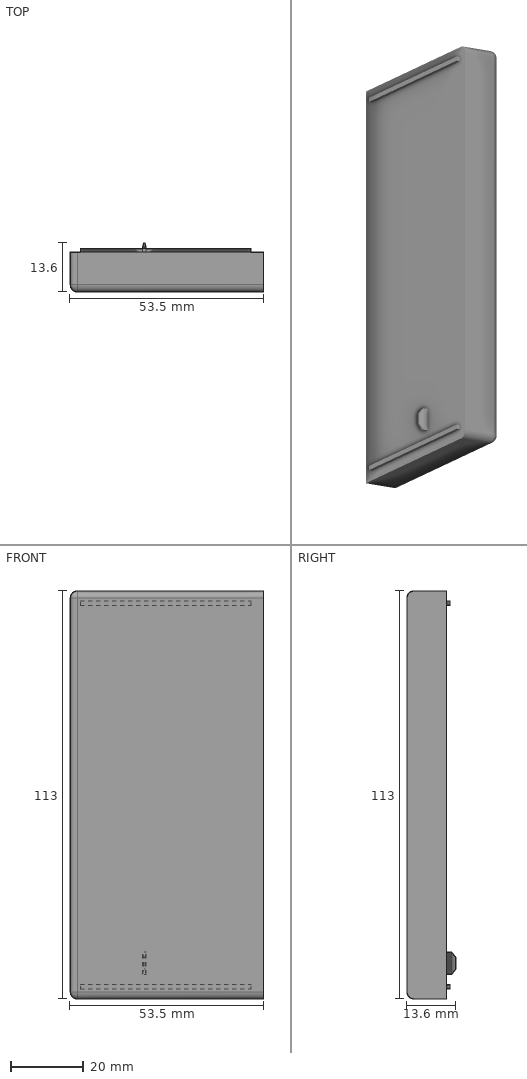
import cadquery as cq

width = 53.5
depth = 11.0
height = 113.0
edge_radius = 2.0

bar_thickness = 1.2
bar_projection = 1.0
bar_edge_margin = 2.8
bar_left_margin = 2.8
bar_right_margin = 3.5
bar_length = width - bar_left_margin - bar_right_margin

overall_depth = 13.58
tab_projection = overall_depth - depth
tab_tip_depth = 1.2
tab_base_depth = tab_projection - tab_tip_depth
tab_height = 6.2
tab_tip_height = 3.2
tab_width = 1.0
tab_tip_width = 0.4
tab_center_x = 20.5
tab_center_z = 9.9


def make_housing():
    """Slab rounded along the front, top and bottom edges that surround its left side."""
    slab = cq.Workplane("XY").box(width, depth, height, centered=False)
    upright_left_edges = slab.faces("<X").edges("|Y")
    front_edges = slab.faces("<Y").edges("not(>X)")
    return slab.newObject(upright_left_edges.vals() + front_edges.vals()).fillet(edge_radius)


def make_bar(bottom_z):
    """Straight bar lying along X on the back face."""
    bar = cq.Workplane("XY").box(bar_length, bar_projection, bar_thickness, centered=False)
    return bar.translate((bar_left_margin, depth, bottom_z))


def make_tab():
    """Fin whose end narrows in both width and height."""
    back_plane = cq.Plane(
        origin=(tab_center_x, depth, tab_center_z), xDir=(1, 0, 0), normal=(0, 1, 0)
    )
    base = cq.Workplane(back_plane).rect(tab_width, tab_height).extrude(tab_base_depth)
    tip = (
        cq.Workplane(back_plane)
        .workplane(offset=tab_base_depth)
        .rect(tab_width, tab_height)
        .workplane(offset=tab_tip_depth)
        .rect(tab_tip_width, tab_tip_height)
        .loft(ruled=True)
    )
    return base.union(tip)


housing = make_housing()
tab = make_tab()
bar_bottoms = (bar_edge_margin, height - bar_edge_margin - bar_thickness)
bars = [make_bar(bottom_z) for bottom_z in bar_bottoms]

result = cq.Compound.makeCompound([housing.val(), tab.val(), *[bar.val() for bar in bars]])